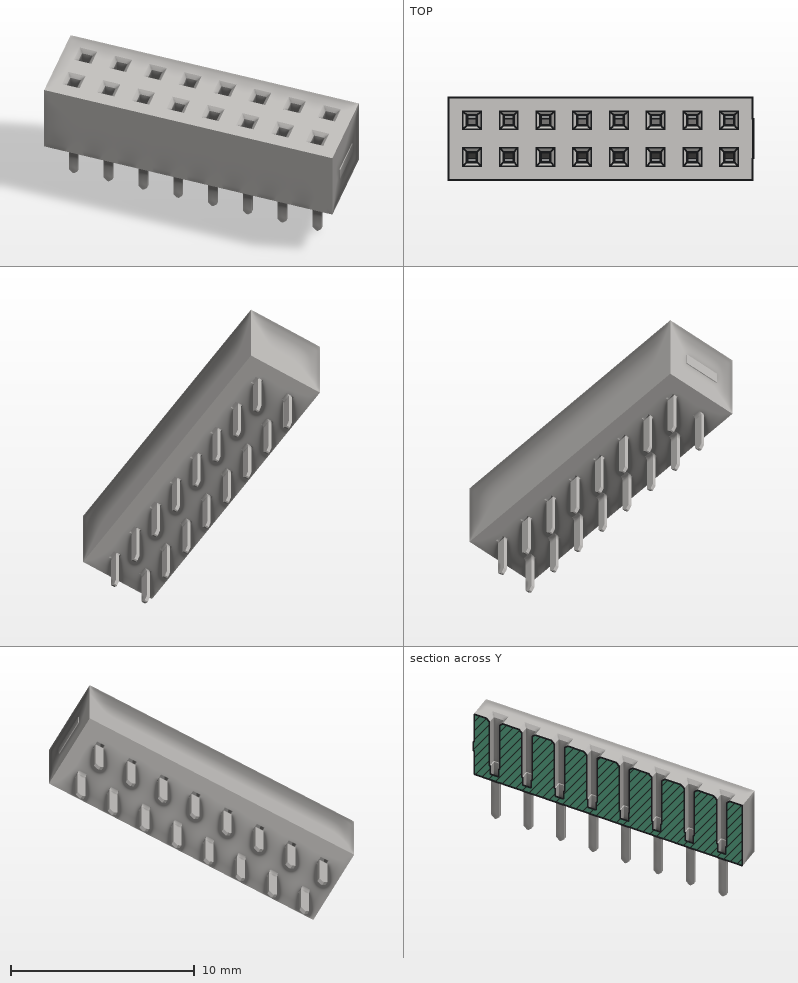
import cadquery as cq
import math

PITCH = 2.0
PINS_PER_ROW = 8

BODY_LENGTH = 16.56
BODY_WIDTH = 4.5
BODY_HEIGHT = 4.3

OVERALL_LENGTH = 16.61
PAD_THICKNESS = OVERALL_LENGTH - BODY_LENGTH
PAD_WIDTH = 2.15
PAD_HEIGHT = 0.7
PAD_CENTER_Z = 2.0

MOUTH_SIZE = 1.0
THROAT_SIZE = 0.6
PASSAGE_SIZE = 0.48
FUNNEL_DEPTH = (MOUTH_SIZE - THROAT_SIZE) / 2
FLOOR_THICKNESS = 1.0

OVERALL_HEIGHT = 7.0
TAIL_LENGTH = OVERALL_HEIGHT - BODY_HEIGHT
TAIL_WIDTH = 0.5
TAIL_THICKNESS = 0.2
TAIL_OUTER_Y = 1.1
TAIL_INNER_Y = TAIL_OUTER_Y - TAIL_THICKNESS
TIP_CHAMFER = 0.2
BEND_ANGLE = math.atan2(1, 2)
OUTER_BEND_Z = -0.1
INNER_BEND_Z = OUTER_BEND_Z - TAIL_THICKNESS * math.tan(BEND_ANGLE / 2)
ROOT_EMBED = 0.1

ROW_Y = PITCH / 2
ROOT_Y = ROW_Y - PASSAGE_SIZE / 2 - ROOT_EMBED
COLUMN_X = [(i - (PINS_PER_ROW - 1) / 2) * PITCH for i in range(PINS_PER_ROW)]


def make_housing():
    """Plain block with the low pad on its +X end."""
    block = cq.Workplane("XY").box(BODY_LENGTH, BODY_WIDTH, BODY_HEIGHT, centered=(True, True, False))
    pad = (
        cq.Workplane("YZ", origin=(BODY_LENGTH / 2, 0, PAD_CENTER_Z))
        .rect(PAD_WIDTH, PAD_HEIGHT)
        .extrude(PAD_THICKNESS)
    )
    return block.union(pad)


def make_opening(x, y):
    """Funnel, throat and passage to be cut through the housing at one contact position."""
    passage = cq.Workplane("XY", origin=(x, y, 0)).rect(PASSAGE_SIZE, PASSAGE_SIZE).extrude(BODY_HEIGHT)
    throat = (
        cq.Workplane("XY", origin=(x, y, FLOOR_THICKNESS))
        .rect(THROAT_SIZE, THROAT_SIZE)
        .extrude(BODY_HEIGHT - FLOOR_THICKNESS)
    )
    funnel = (
        cq.Workplane("XY", origin=(x, y, BODY_HEIGHT))
        .rect(MOUTH_SIZE, MOUTH_SIZE)
        .workplane(offset=-FUNNEL_DEPTH)
        .rect(THROAT_SIZE, THROAT_SIZE)
        .loft(combine=True)
    )
    return passage.union(throat).union(funnel)


def make_tail(x):
    """Tail of the +Y row: a straight blade bent inward into the passage wall."""
    rise_per_inset = 1 / math.tan(BEND_ANGLE)
    outer_root_z = OUTER_BEND_Z + (TAIL_OUTER_Y - ROOT_Y) * rise_per_inset
    inner_root_z = INNER_BEND_Z + (TAIL_INNER_Y - ROOT_Y) * rise_per_inset
    tail = (
        cq.Workplane("YZ", origin=(x, 0, 0))
        .moveTo(TAIL_OUTER_Y, -TAIL_LENGTH)
        .lineTo(TAIL_OUTER_Y, OUTER_BEND_Z)
        .lineTo(ROOT_Y, outer_root_z)
        .lineTo(ROOT_Y, inner_root_z)
        .lineTo(TAIL_INNER_Y, INNER_BEND_Z)
        .lineTo(TAIL_INNER_Y, -TAIL_LENGTH)
        .close()
        .extrude(TAIL_WIDTH / 2, both=True)
    )
    return tail.faces("<Z").edges("|Y").chamfer(TIP_CHAMFER)


result = make_housing()
for column_x in COLUMN_X:
    for row_y in (ROW_Y, -ROW_Y):
        result = result.cut(make_opening(column_x, row_y))
for column_x in COLUMN_X:
    tail = make_tail(column_x)
    result = result.union(tail).union(tail.mirror("XZ"))